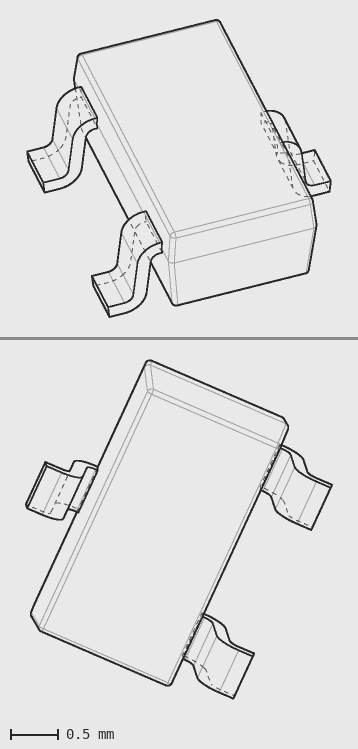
import cadquery as cq
import math

body_length = 3.0
body_width = 1.65
body_bottom = 0.085
parting_height = 0.81
body_top = 1.18
body_draft = 5.3
edge_radius = 0.048

lead_width = 0.5
lead_thickness = 0.15
lead_top = 0.895
lead_span = 2.84
lead_lean = 6.0
inner_bend_radius = 0.1
outer_bend_radius = inner_bend_radius + lead_thickness
upper_bend_start = 0.845
lead_root = 0.6
front_lead_offset = 1.0


def body_half(height, direction):
    """Drafted half of the body, rounded everywhere except at the parting plane."""
    half = cq.Workplane("XY").rect(body_length, body_width).extrude(height, taper=body_draft)
    half = half.edges("not <Z").fillet(edge_radius)
    if direction < 0:
        half = half.mirror("XY")
    return half.translate((0, 0, parting_height))


def bend_point(center, radius, angle):
    """Point on a bend, with the angle in degrees counter-clockwise from +Y."""
    turn = math.radians(angle)
    return (center[0] + radius * math.cos(turn), center[1] + radius * math.sin(turn))


def make_lead(x_center):
    """S-shaped lead leaving the body towards +Y."""
    lean = math.radians(lead_lean)
    upper_z = lead_top - outer_bend_radius
    lower_z = outer_bend_radius
    center_spacing = (inner_bend_radius + outer_bend_radius) / math.cos(lean)
    center_spacing += (upper_z - lower_z) * math.tan(lean)
    upper = (upper_bend_start, upper_z)
    lower = (upper_bend_start + center_spacing, lower_z)
    foot_end = lead_span / 2
    foot_slant = lead_thickness * math.tan(lean)

    upper_end = lead_lean
    upper_middle = (90 + upper_end) / 2
    lower_start = 180 + lead_lean
    lower_middle = (lower_start + 270) / 2

    profile = (
        cq.Workplane("YZ")
        .moveTo(lead_root, lead_top)
        .lineTo(upper_bend_start, lead_top)
        .threePointArc(
            bend_point(upper, outer_bend_radius, upper_middle),
            bend_point(upper, outer_bend_radius, upper_end),
        )
        .lineTo(*bend_point(lower, inner_bend_radius, lower_start))
        .threePointArc(
            bend_point(lower, inner_bend_radius, lower_middle),
            bend_point(lower, inner_bend_radius, 270),
        )
        .lineTo(foot_end, lead_thickness)
        .lineTo(foot_end - foot_slant, 0)
        .lineTo(lower[0], 0)
        .threePointArc(
            bend_point(lower, outer_bend_radius, lower_middle),
            bend_point(lower, outer_bend_radius, lower_start),
        )
        .lineTo(*bend_point(upper, inner_bend_radius, upper_end))
        .threePointArc(
            bend_point(upper, inner_bend_radius, upper_middle),
            bend_point(upper, inner_bend_radius, 90),
        )
        .lineTo(lead_root, lead_top - lead_thickness)
        .close()
    )
    return profile.extrude(lead_width / 2, both=True).translate((x_center, 0, 0))


result = body_half(body_top - parting_height, 1)
result = result.union(body_half(parting_height - body_bottom, -1))

result = result.union(make_lead(0))
for x_center in (-front_lead_offset, front_lead_offset):
    result = result.union(make_lead(x_center).mirror("XZ"))